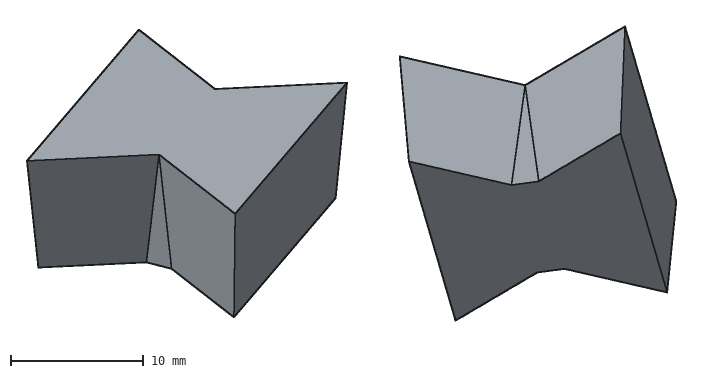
import cadquery as cq
import math

length = 20.0
height = 10.0
waist = length / 2
draft_angle = 3.0
flank_angle = 30.0

slope = math.tan(math.radians(flank_angle))
half_width = (length - waist) / 2 / slope
inset = height * math.tan(math.radians(draft_angle))


def bow_tie(offset):
    """Corners of the bow-tie with every edge moved inward by offset."""
    x = half_width - offset
    notch = waist / 2 - offset / math.cos(math.radians(flank_angle))
    tip = notch + x * slope
    return [(-x, -tip), (0, -notch), (x, -tip), (x, tip), (0, notch), (-x, tip)]


body = (
    cq.Workplane("XY")
    .polyline(bow_tie(inset)).close()
    .workplane(offset=height)
    .polyline(bow_tie(0)).close()
    .loft(ruled=True, combine=True)
)

flat_half_width = inset / math.sin(math.radians(flank_angle))
waist_block = cq.Workplane("XY").box(
    2 * flat_half_width, waist, height, centered=(True, True, False)
)

result = body.union(waist_block)